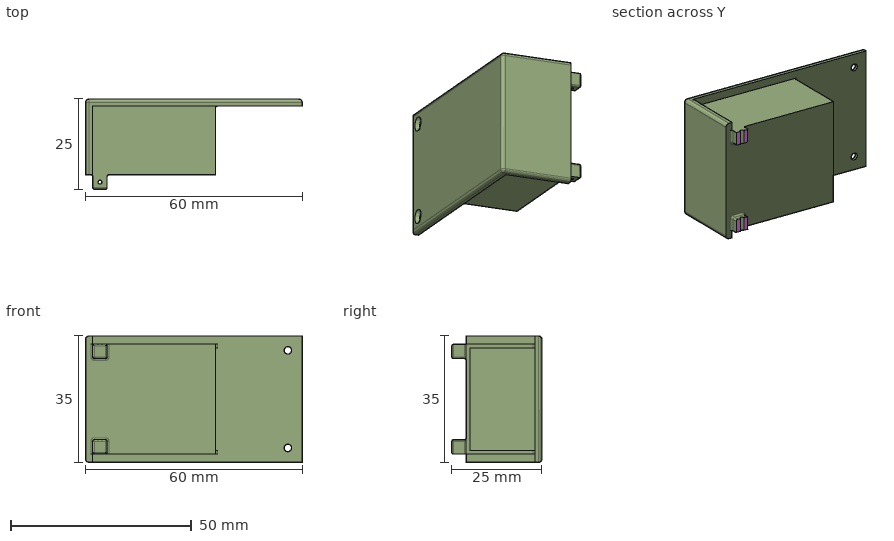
import cadquery as cq

plate_length = 60.0
plate_height = 35.0
plate_thickness = 2.0
wall_thickness = 2.0
total_depth = 25.0
outer_radius = 1.0

box_end_x = 36.0
box_height = 30.4
box_wall = 1.0

lug_size = 4.0
lug_hole_diameter = 1.0
inner_radius = 0.5

screw_hole_diameter = 2.0
screw_hole_inset = 4.0
countersink_depth = 1.0

box_front_y = -(total_depth - lug_size)
box_bottom_z = (plate_height - box_height) / 2
box_top_z = box_bottom_z + box_height
box_z = (box_bottom_z, box_top_z)
lug_start_x = wall_thickness
lug_x = (lug_start_x, lug_start_x + lug_size)

tolerance = 0.01


def block(x_range, y_range, z_range):
    """Axis-aligned box given by its (low, high) limits on each axis."""
    sizes = [high - low for low, high in (x_range, y_range, z_range)]
    corner = (x_range[0], y_range[0], z_range[0])
    return cq.Workplane("XY").box(*sizes, centered=False).translate(corner)


def edges_on_plane(body, y, x_range, z_range):
    """Edges of the body that lie in the plane at the given Y, inside the X and Z limits."""
    region = cq.selectors.BoxSelector(
        (x_range[0] - tolerance, y - tolerance, z_range[0] - tolerance),
        (x_range[1] + tolerance, y + tolerance, z_range[1] + tolerance),
        boundingbox=True,
    )
    return body.edges(region)


def make_shell():
    """Plate and end wall forming an L, with rounded outer edges."""
    outline = block((0, plate_length), (box_front_y, 0), (0, plate_height))
    outline = outline.edges("|Y and <X").fillet(outer_radius)
    outline = outline.faces(">Y").edges().fillet(outer_radius)
    opening = block(
        (wall_thickness, plate_length),
        (box_front_y, -plate_thickness),
        (0, plate_height),
    )
    return outline.cut(opening)


def make_box():
    """Hollow box on a strip of the plate, filleted where the rims of its side walls meet the plate."""
    overlap = outer_radius
    body = block((overlap, box_end_x), (box_front_y, -overlap), box_z)
    strip = block((overlap, box_end_x + 2 * inner_radius), (-plate_thickness, -overlap), box_z)
    body = body.union(strip)
    body = edges_on_plane(body, -plate_thickness, (box_end_x, box_end_x), box_z).fillet(inner_radius)
    cavity = block(
        (wall_thickness, box_end_x + inner_radius),
        (box_front_y + box_wall, -plate_thickness),
        (box_bottom_z + box_wall, box_top_z - box_wall),
    )
    return body.cut(cavity)


def make_lug(bottom_z, inner_side):
    """Lug with rounded tip and rounded edges on the side facing the other lug."""
    lug = block(lug_x, (-total_depth, box_front_y), (bottom_z, bottom_z + lug_size))
    return lug.faces("<Y").edges().add(lug.faces(inner_side).edges("|Y")).fillet(inner_radius)


def add_lugs(body):
    """Both lugs, flush with the sides of the box, with filleted roots and pin holes along Z."""
    body = body.union(make_lug(box_bottom_z, ">Z"))
    body = body.union(make_lug(box_top_z - lug_size, "<Z"))
    body = edges_on_plane(body, box_front_y, lug_x, box_z).fillet(inner_radius)
    pin_hole = (
        cq.Workplane("XY")
        .center(lug_start_x + lug_size / 2, box_front_y - lug_size / 2)
        .circle(lug_hole_diameter / 2)
        .extrude(plate_height)
    )
    return body.cut(pin_hole)


def make_screw_hole(hole_z):
    """Cutter for one screw hole along Y, with a 90 degree countersink in the back of the plate."""
    radius = screw_hole_diameter / 2
    sink_radius = radius + countersink_depth
    profile = (
        cq.Workplane("XY")
        .lineTo(sink_radius, 0)
        .lineTo(radius, -countersink_depth)
        .lineTo(radius, -plate_thickness)
        .lineTo(0, -plate_thickness)
        .close()
    )
    cutter = profile.revolve(360, (0, 0, 0), (0, 1, 0))
    return cutter.translate((plate_length - screw_hole_inset, 0, hole_z))


result = make_shell().union(add_lugs(make_box()))
for screw_hole_z in (screw_hole_inset, plate_height - screw_hole_inset):
    result = result.cut(make_screw_hole(screw_hole_z))